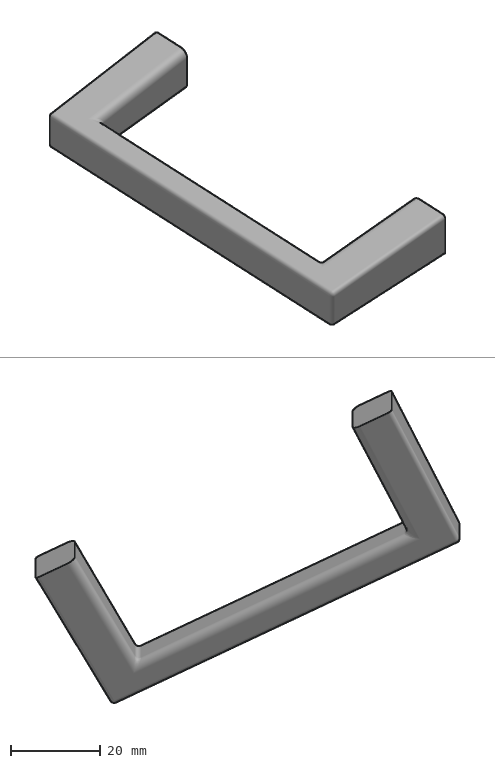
import cadquery as cq

length = 90.0
depth = 36.0
foot_height = 12.0
grip_height = 10.0
grip_thickness = 6.9
foot_width = 10.0
side_draft = 1.0
outer_radius = 1.0
inner_radius = 2.0
corner_radius = 1.0

outer_back = length / 2
outer_front = outer_back - side_draft
inner_back = outer_back - foot_width
inner_front = inner_back - side_draft * (depth - grip_thickness) / depth
tolerance = 0.01
corner_reach = 1.5 * inner_radius


def make_body():
    """U-shaped plan, limited above and below by the tapering side profile."""
    plan = (
        cq.Workplane("XY")
        .polyline([
            (-outer_back, depth),
            (-outer_front, 0),
            (outer_front, 0),
            (outer_back, depth),
            (inner_back, depth),
            (inner_front, grip_thickness),
            (-inner_front, grip_thickness),
            (-inner_back, depth),
        ])
        .close()
        .extrude(foot_height / 2, both=True)
    )
    side = (
        cq.Workplane("YZ")
        .polyline([
            (0, -grip_height / 2),
            (depth, -foot_height / 2),
            (depth, foot_height / 2),
            (0, grip_height / 2),
        ])
        .close()
        .extrude(length, both=True)
    )
    return plan.intersect(side)


def is_inside(edge):
    """True for edges bordering the opening between the legs."""
    center = edge.Center()
    return abs(center.x) < inner_back and center.y > grip_thickness - tolerance


def is_on_back(edge):
    return edge.Center().y > depth - tolerance


def is_upright_inside(edge):
    """True for the inside corner edges, including their curved ends."""
    box = edge.BoundingBox()
    at_corner = box.xlen < corner_reach and box.ylen < corner_reach
    return at_corner and is_inside(edge) and not is_on_back(edge)


def round_edges(body, radius, wanted):
    edges = [edge for edge in body.edges().vals() if wanted(edge)]
    return body.newObject(edges).fillet(radius)


def is_outer(edge):
    return not is_inside(edge) and not is_on_back(edge)


def is_inner_rim(edge):
    return is_inside(edge) and not is_on_back(edge) and not is_upright_inside(edge)


body = make_body()
body = round_edges(body, outer_radius, is_outer)
body = round_edges(body, inner_radius, is_inner_rim)
result = round_edges(body, corner_radius, is_upright_inside)